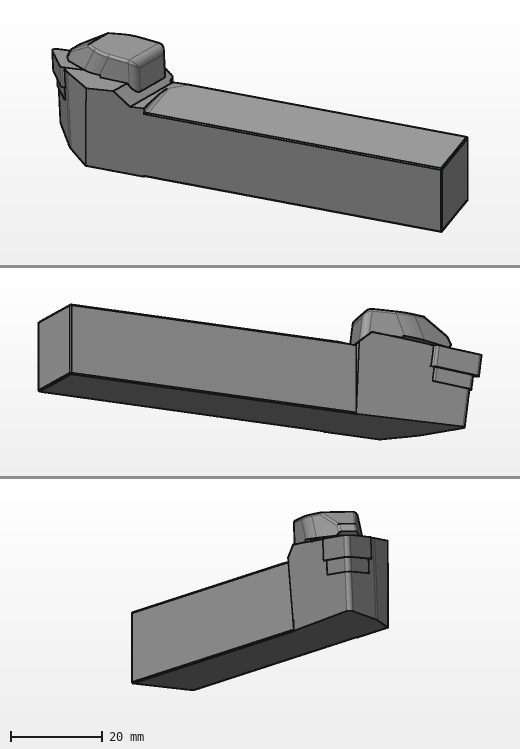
import cadquery as cq
import math

SHANK_SIZE = 16.0
SHANK_END = 99.3
SHANK_CHAMFER = 0.3

INSERT_NOSE_RADIUS = 0.8
OVERALL_WIDTH = 20.0
NOSE_Z = 16.3
RISE_ALONG_X = math.tan(math.radians(5))
FALL_ALONG_Y = math.tan(math.radians(5.6))

INSERT_ANGLE = 55.0
INSERT_CIRCLE = 9.5
INSERT_THICKNESS = 4.8
BACK_EDGE_ANGLE = -3.0
LEFT_EDGE_ANGLE = BACK_EDGE_ANGLE - INSERT_ANGLE

SHIM_THICKNESS = 3.2
SHIM_INSET = 0.6

HEAD_INSET = 0.8
HEAD_END = 29.1
HEAD_CORNER_X = 15.6
FRONT_BEVEL_ANGLE = -46.0
HEAD_BLEND_RADIUS = 6.0
HEAD_DEPTH = 23.8

LEDGE_DEPTH = 3.5
RAMP_TOP = 25.1
RAMP_ANGLE = 45.0
ROOT_RADIUS = 0.9

CLAMP_AXIS_ANGLE = -13.0
CLAMP_AXIS_OFFSET = -2.4
CLAMP_WIDTH = 12.5
CLAMP_NOSE_WIDTH = 4.6
CLAMP_NOSE = 6.1
CLAMP_REAR = 27.3
CLAMP_FLANK_ANGLE = 24.3
CLAMP_DRAFT = 13.0
CLAMP_CORNER_RADIUS = 1.7
CLAMP_SHOULDER_RADIUS = 8.9
CLAMP_EDGE_RADIUS = 0.6
CLAMP_REAR_RADIUS = 2.0
NOSE_LIP_HEIGHT = 1.3
BEVEL_START = (7.3, 3.1)
BEVEL_END = (13.5, 6.2)
CLAMP_REAR_HEIGHT = 5.3
CLAMP_GAP = 0.5
CLAMP_GAP_END = 17.9
FOOT_DEPTH = 4.0

OVERSIZE = 119.2

SEAT = cq.Plane(
    origin=(INSERT_NOSE_RADIUS, OVERALL_WIDTH - INSERT_NOSE_RADIUS, NOSE_Z),
    xDir=(1, 0, RISE_ALONG_X),
    normal=(-RISE_ALONG_X, FALL_ALONG_Y, 1),
)
CLAMP_SEAT = SEAT.rotated((0, 0, CLAMP_AXIS_ANGLE))


def tangent(degrees):
    return math.tan(math.radians(degrees))


def near(*point):
    """Selects the one item closest to a point."""
    return cq.selectors.NearestToPointSelector(point)


def placed(workplane, frame):
    """A solid built about the origin, moved into a tilted frame."""
    return cq.Workplane(workplane.val().moved(cq.Location(frame)))


def step(point, angle, length):
    """The point reached from another along a direction in degrees."""
    turn = math.radians(angle)
    return (point[0] + length * math.cos(turn), point[1] + length * math.sin(turn))


def crossing(first, first_angle, second, second_angle):
    """The point where two lines meet, each given by a point and a direction in degrees."""
    gap_x = second[0] - first[0]
    gap_y = second[1] - first[1]
    turn = math.radians(second_angle)
    across = gap_x * math.sin(turn) - gap_y * math.cos(turn)
    return step(first, first_angle, across / math.sin(turn - math.radians(first_angle)))


def nose_corner(inset):
    """The sharp 55 degree corner of the insert outline, moved inward by an inset."""
    bisector = BACK_EDGE_ANGLE - INSERT_ANGLE / 2
    setback = (inset - INSERT_NOSE_RADIUS) / math.sin(math.radians(INSERT_ANGLE / 2))
    return step((0, 0), bisector, setback)


def rhombus_prism(inset, top, thickness):
    """The insert outline, moved inward by an inset, reaching down from a height above the seat."""
    side = (INSERT_CIRCLE - 2 * inset) / math.sin(math.radians(INSERT_ANGLE))
    tip = nose_corner(inset)
    left = step(tip, LEFT_EDGE_ANGLE, side)
    far = step(left, BACK_EDGE_ANGLE, side)
    back = step(tip, BACK_EDGE_ANGLE, side)
    outline = cq.Workplane("XY").workplane(offset=top).polyline([tip, left, far, back]).close()
    prism = outline.extrude(-thickness)
    return placed(prism.edges("|Z").fillet(INSERT_NOSE_RADIUS), SEAT)


def make_head():
    """A prism square to the seat, trimmed by the shank's bottom and front planes and by its own end."""
    nose = nose_corner(HEAD_INSET)
    corner = (HEAD_CORNER_X - SEAT.origin.x, -SEAT.origin.y)
    left = crossing(nose, LEFT_EDGE_ANGLE, corner, FRONT_BEVEL_ANGLE)
    below_corner = step(corner, FRONT_BEVEL_ANGLE, HEAD_DEPTH / 2)
    beyond_end = step(nose, BACK_EDGE_ANGLE, HEAD_END + HEAD_DEPTH / 2)
    outline = [nose, left, below_corner, (beyond_end[0], below_corner[1]), beyond_end]
    prism = cq.Workplane("XY").polyline(outline).close().extrude(-HEAD_DEPTH)
    prism = prism.edges("|Z").edges(near(*nose, -HEAD_DEPTH / 2)).fillet(INSERT_NOSE_RADIUS)
    prism = prism.edges("|Z").edges(near(*left, -HEAD_DEPTH / 2)).fillet(HEAD_BLEND_RADIUS)
    limits = cq.Workplane("XY").box(HEAD_END, OVERSIZE, OVERSIZE, centered=False)
    return placed(prism, SEAT).intersect(limits)


def make_ramp_cut():
    """The space above the ramp and ledge."""
    ramp_foot = RAMP_TOP + LEDGE_DEPTH / tangent(RAMP_ANGLE)
    ramp_rise = LEDGE_DEPTH + OVERALL_WIDTH
    profile = [
        (ramp_foot, -LEDGE_DEPTH),
        (ramp_foot - ramp_rise / tangent(RAMP_ANGLE), OVERALL_WIDTH),
        (SHANK_END, OVERALL_WIDTH),
        (SHANK_END, -LEDGE_DEPTH),
    ]
    cut = cq.Workplane("XZ").polyline(profile).close().extrude(OVERSIZE / 2, both=True)
    return placed(cut, CLAMP_SEAT)


def make_root():
    """The concave round between the head's end and the shank's top."""
    block = cq.Workplane("XY").box(ROOT_RADIUS, SHANK_SIZE, ROOT_RADIUS, centered=False)
    scoop = cq.Workplane("XZ").center(ROOT_RADIUS, ROOT_RADIUS).circle(ROOT_RADIUS).extrude(-SHANK_SIZE)
    return block.cut(scoop).translate((HEAD_END, 0, SHANK_SIZE))


def make_shank():
    """The square bar, chamfered along its length and around its far end."""
    shank = cq.Workplane("XY").box(SHANK_END - HEAD_END, SHANK_SIZE, SHANK_SIZE, centered=False)
    shank = shank.translate((HEAD_END, 0, 0))
    return shank.edges("|X or >X").chamfer(SHANK_CHAMFER)


def clamp_block(bottom, top):
    """The clamp's parallel sides and rounded rear, between two heights above the seat."""
    length = CLAMP_REAR - CLAMP_NOSE
    block = cq.Workplane("XY").box(length, CLAMP_WIDTH, top - bottom, centered=(False, True, False))
    block = block.edges("|Z and >X").fillet(CLAMP_CORNER_RADIUS)
    return block.translate((CLAMP_NOSE, CLAMP_AXIS_OFFSET, bottom))


def clamp_wedge(height):
    """The clamp's drafted flanks, running on past its nose and well past its rear."""
    front = -CLAMP_NOSE_WIDTH / 4 / tangent(CLAMP_FLANK_ANGLE)
    back = 2 * CLAMP_REAR
    half_front = CLAMP_NOSE_WIDTH / 4
    half_back = CLAMP_NOSE_WIDTH / 2 + back * tangent(CLAMP_FLANK_ANGLE)
    outline = [
        (front, -half_front),
        (back, -half_back),
        (back, half_back),
        (front, half_front),
    ]
    wedge = cq.Workplane("XY").polyline(outline).close().extrude(height, taper=CLAMP_DRAFT)
    return wedge.translate((CLAMP_NOSE, CLAMP_AXIS_OFFSET, 0))


def clamp_profile():
    """The clamp's side outline: an undercut nose, a bevel, then a top that falls to a rounded rear."""
    outline = [
        (CLAMP_GAP_END, 0),
        (CLAMP_GAP_END, CLAMP_GAP),
        (CLAMP_NOSE + NOSE_LIP_HEIGHT - CLAMP_GAP, CLAMP_GAP),
        (CLAMP_NOSE, NOSE_LIP_HEIGHT),
        BEVEL_START,
        BEVEL_END,
        (CLAMP_REAR, CLAMP_REAR_HEIGHT),
        (CLAMP_REAR, 0),
    ]
    profile = cq.Workplane("XZ").polyline(outline).close().extrude(CLAMP_WIDTH, both=True)
    return profile.edges("|Y").edges(near(CLAMP_REAR, 0, CLAMP_REAR_HEIGHT)).fillet(CLAMP_REAR_RADIUS)


def make_clamp():
    """The clamp above the seat, with rounded shoulders, nose corners and top rim."""
    height = BEVEL_END[1] + 1
    shoulder = CLAMP_NOSE + (CLAMP_WIDTH - CLAMP_NOSE_WIDTH) / 2 / tangent(CLAMP_FLANK_ANGLE)
    clamp = clamp_block(0, height).intersect(clamp_wedge(height))
    for side in (-1, 1):
        shoulder_y = CLAMP_AXIS_OFFSET + side * CLAMP_WIDTH / 2
        shoulder_edge = clamp.edges(near(shoulder + height / 4, shoulder_y, height / 2))
        clamp = shoulder_edge.fillet(CLAMP_SHOULDER_RADIUS)
    clamp = clamp.intersect(clamp_profile())
    nose_x = (CLAMP_NOSE + BEVEL_START[0]) / 2
    nose_z = (NOSE_LIP_HEIGHT + BEVEL_START[1]) / 2
    bevel_x = (BEVEL_START[0] + BEVEL_END[0]) / 2
    bevel_z = (BEVEL_START[1] + BEVEL_END[1]) / 2
    side_x = (shoulder + CLAMP_REAR) / 2
    rounded = clamp.newObject([])
    for side in (-1, 1):
        nose_y = CLAMP_AXIS_OFFSET + side * CLAMP_NOSE_WIDTH / 2
        bevel_y = CLAMP_AXIS_OFFSET + side * CLAMP_WIDTH / 3
        side_y = CLAMP_AXIS_OFFSET + side * CLAMP_WIDTH / 2
        rounded = rounded.add(clamp.edges(near(nose_x, nose_y, nose_z)))
        rounded = rounded.add(clamp.edges(near(bevel_x, bevel_y, bevel_z)))
        rounded = rounded.add(clamp.edges(near(side_x, side_y, BEVEL_END[1])))
    return placed(rounded.fillet(CLAMP_EDGE_RADIUS), CLAMP_SEAT)


insert = rhombus_prism(0, 0, INSERT_THICKNESS)

shim = rhombus_prism(SHIM_INSET, -INSERT_THICKNESS, SHIM_THICKNESS)
head = make_head()
foot = placed(clamp_block(-FOOT_DEPTH, 0), CLAMP_SEAT).intersect(head)
holder = head.union(make_shank()).union(make_root()).cut(make_ramp_cut())
holder = holder.union(foot).union(make_clamp()).cut(insert).union(shim)

result = cq.Compound.makeCompound([holder.val(), insert.val()])